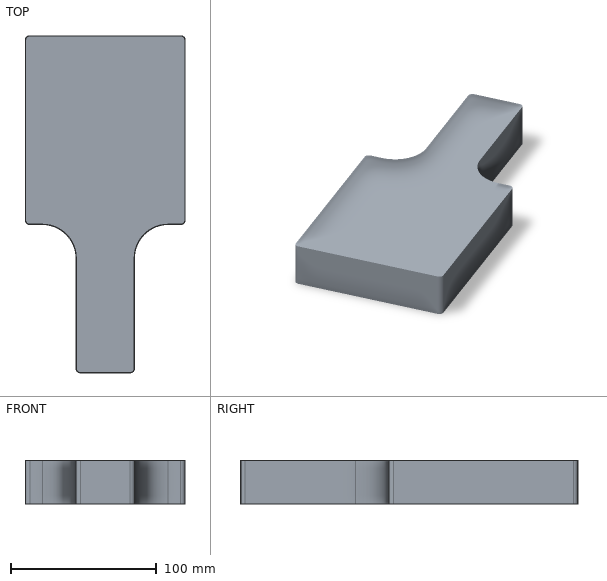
import cadquery as cq

total_length = 231.2
blade_width = 109.5
blade_length = 129.5
handle_width = 40.0
thickness = 30.0
corner_radius = 3.0
neck_radius = 23.1

blade_end_y = total_length / 2
handle_end_y = -total_length / 2
shoulder_y = blade_end_y - blade_length
handle_length = total_length - blade_length


def rounded_block(width, length, center_y, edges):
    """Block along Y with the selected vertical edges rounded."""
    block = cq.Workplane("XY").center(0, center_y).rect(width, length).extrude(thickness)
    return block.edges(edges).fillet(corner_radius)


def neck_fillet(side):
    """Concave web between the blade shoulder and one side of the handle."""
    handle_x = side * handle_width / 2
    outer_x = handle_x + side * neck_radius
    lower_y = shoulder_y - neck_radius
    web = (
        cq.Workplane("XY")
        .moveTo(0, shoulder_y)
        .lineTo(outer_x, shoulder_y)
        .radiusArc((handle_x, lower_y), side * -neck_radius)
        .lineTo(0, lower_y)
        .close()
    )
    return web.extrude(thickness)


blade = rounded_block(blade_width, blade_length, (blade_end_y + shoulder_y) / 2, "|Z")
handle = rounded_block(handle_width, handle_length, (handle_end_y + shoulder_y) / 2, "|Z and <Y")

result = blade.union(handle)
for side in (-1, 1):
    result = result.union(neck_fillet(side))
result = result.clean()